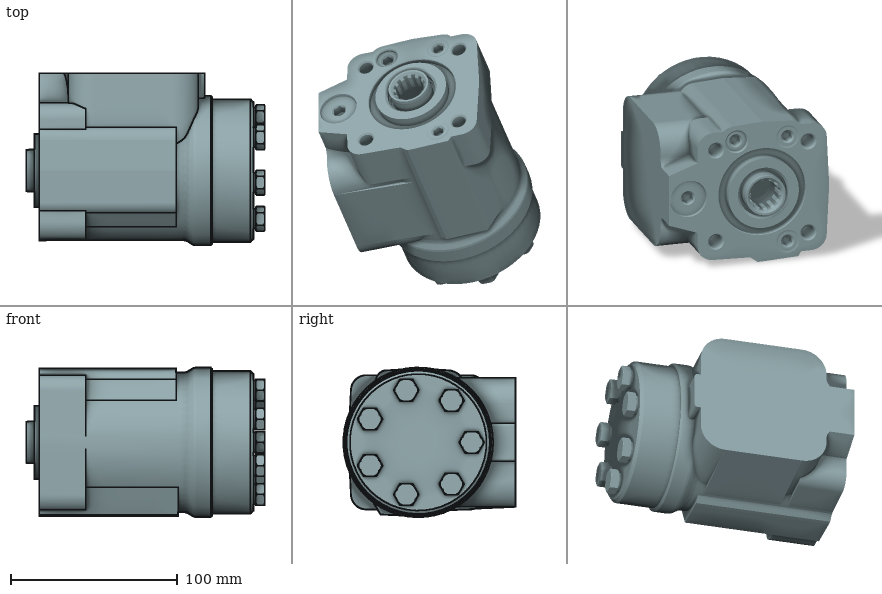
import cadquery as cq
import math


barrel_r = 42.0
barrel_end = 86.7
cone_start = 89.2
cone_start_r = 42.6
cone_end = 92.7
cone_end_r = 44.7
flange_r = 45.0
flange_land_start = 94.1
flange_end = 104.0
flange_chamfer = 1.1

plate_t = 28.0
plate_top_z = 40.4
plate_side_y = 40.5
plate_waist_y = 41.8
plate_waist_z = 4.2
plate_corner_r = 9.5
plate_flat_y = plate_side_y - plate_corner_r
plate_side_z = plate_top_z - plate_corner_r
ear_root_y = 40.7
ear_root_z = 22.1
ear_tip_z = 15.8
port_face_y = 58.5

pad_ridge_z = 44.5
pad_edge_y = 18.5
pad_edge_z = 43.3
pad_round_y = 23.2
pad_round_z = 41.6
flank_top_y = 25.2
flank_top_z = 38.0
flank_foot_y = 33.7
flank_foot_z = 25.2
block_side_y = 26.1
block_side_z = 38.8
bottom_edge_y = 22.6
bottom_edge_z = 43.4
bottom_flank_top_y = 24.0
bottom_flank_foot_y = 32.4
bottom_flank_foot_z = 26.9
bottom_step_y = 3.0
bottom_step_foot_y = 7.6
bottom_step_z = 41.1
top_pad_length = 82.3
bottom_pad_length = 83.4

block_start = 17.4
block_end = 95.5
block_half_z = 38.8
block_corner_r = 15.1
block_neck_z = 21.0
block_neck_r = 6.8
rib_t = 4.0
rib_half_z = 11.5
rib_root_y = 30.0
rib_round_r = 1.9

collar_r = 22.1
collar_height = 2.95
recess_r = 27.2
recess_depth = 3.5
recess_chamfer = 0.35
seal_mouth_d = 32.27
seal_d = 29.6
seal_depth = 4.0
clearance_r = 13.8
clearance_depth = 2.0

sleeve_r = 25.4 / 2
sleeve_front = -7.8
sleeve_back = 30.0
sleeve_lead = 1.9
sleeve_lead_drop = 0.3
spline_teeth = 12
spline_root_r = 9.9
spline_tip_r = 8.55
spline_tooth_w = 2.3
spline_length = 11.0
spline_mouth_r = 11.2
sleeve_bore_depth = 24.0

mount_pitch = 29.0
mount_d = 8.38
mount_mouth_d = 10.2
mount_depth = 15.0
small_plug_y = 16.0
small_plug_z = 33.3
small_plug_d = 12.5
small_plug_mouth_d = 14.4
small_hex = 6.0
small_socket_d = 8.38
deep_plug_d = 13.0
deep_plug_depth = 2.0
deep_plug_lead = 0.7
shallow_plug_depth = 0.3
big_plug_y = 46.2
big_plug_d = 22.0
big_plug_mouth_d = 23.0
big_plug_depth = 1.7
big_hex = 7.0
big_socket_d = 8.92
socket_depth = 6.0
socket_turn = 90
drill_point_angle = 118.0

stack_r = 86.0 / 2
cap_end = 128.7
cap_chamfer = 2.0
bolt_count = 7
bolt_circle_r = 32.1
washer_d = 12.0
washer_t = 1.4
hex_flats = 13.0
hex_end = 135.47
hex_chamfer = 0.6


def extrude_yz(outline, start, end):
    """Close a YZ outline drawn on a plane at X = start and extrude it to X = end."""
    return outline.close().extrude(end - start)


def yz_plane(x):
    return cq.Workplane("YZ", origin=(x, 0, 0))


def cylinder(radius, start, end, y=0.0, z=0.0):
    return yz_plane(start).center(y, z).circle(radius).extrude(end - start)


def cone(front_r, back_r, start, end, y=0.0, z=0.0):
    """Solid cone along X; back_r may be zero for a drill point."""
    outline = cq.Workplane("XY", origin=(0, y, z)).moveTo(start, 0).lineTo(start, front_r)
    outline = outline.lineTo(end, back_r)
    if back_r > 0:
        outline = outline.lineTo(end, 0)
    return outline.close().revolve(360, (0, 0, 0), (1, 0, 0))


def hexagon(flats, start, end, y, z, turn=0):
    """Hexagonal prism along X; its corners point along Y until it is turned."""
    corners_d = flats / math.cos(math.pi / 6)
    prism = yz_plane(start).center(y, z).polygon(6, corners_d).extrude(end - start)
    return prism.rotate((0, y, z), (1, y, z), turn)


def make_barrel():
    chamfer_start = flange_end - flange_chamfer
    return (
        cq.Workplane("XY")
        .moveTo(0, 0)
        .lineTo(0, barrel_r)
        .lineTo(barrel_end, barrel_r)
        .tangentArcPoint((cone_start, cone_start_r), relative=False)
        .lineTo(cone_end, cone_end_r)
        .lineTo(flange_land_start, flange_r)
        .lineTo(chamfer_start, flange_r)
        .lineTo(flange_end, flange_r - flange_chamfer)
        .lineTo(flange_end, 0)
        .close()
        .revolve(360, (0, 0, 0), (1, 0, 0))
    )


def make_plate():
    """Rounded square plate with an ear that reaches the port face."""
    corner = plate_corner_r * (1 - math.sqrt(0.5))
    corner_y = plate_side_y - corner
    corner_z = plate_top_z - corner
    outline = (
        yz_plane(0)
        .moveTo(-plate_waist_y, -plate_waist_z)
        .lineTo(-plate_waist_y, plate_waist_z)
        .lineTo(-plate_side_y, plate_side_z)
        .threePointArc((-corner_y, corner_z), (-plate_flat_y, plate_top_z))
        .lineTo(plate_flat_y, plate_top_z)
        .threePointArc((corner_y, corner_z), (plate_side_y, plate_side_z))
        .lineTo(ear_root_y, ear_root_z)
        .lineTo(ear_root_y, -ear_root_z)
        .lineTo(plate_side_y, -plate_side_z)
        .threePointArc((corner_y, -corner_z), (plate_flat_y, -plate_top_z))
        .lineTo(bottom_step_foot_y, -bottom_step_z)
        .lineTo(-plate_flat_y, -plate_top_z)
        .threePointArc((-corner_y, -corner_z), (-plate_side_y, -plate_side_z))
    )
    plate = extrude_yz(outline, 0, plate_t)
    ear = extrude_yz(
        yz_plane(0)
        .moveTo(0, ear_root_z)
        .lineTo(ear_root_y, ear_root_z)
        .lineTo(port_face_y, ear_tip_z)
        .lineTo(port_face_y, -ear_tip_z)
        .lineTo(ear_root_y, -ear_root_z)
        .lineTo(0, -ear_root_z),
        0,
        block_start + 1,
    )
    return plate.union(ear)


def make_pads():
    """Ridged pads on top of and below the barrel, their flanks leaning onto it."""
    top = extrude_yz(
        yz_plane(0)
        .moveTo(0, pad_ridge_z)
        .lineTo(-pad_edge_y, pad_edge_z)
        .threePointArc((-pad_round_y, pad_round_z), (-flank_top_y, flank_top_z))
        .lineTo(-flank_foot_y, flank_foot_z)
        .lineTo(block_side_y, flank_foot_z)
        .lineTo(block_side_y, block_side_z)
        .threePointArc((pad_round_y, pad_round_z), (pad_edge_y, pad_edge_z)),
        0,
        top_pad_length,
    )
    bottom = extrude_yz(
        yz_plane(0)
        .moveTo(bottom_step_y, -pad_ridge_z)
        .lineTo(0, -pad_ridge_z)
        .lineTo(-bottom_edge_y, -bottom_edge_z)
        .lineTo(-bottom_flank_top_y, -bottom_step_z)
        .lineTo(-bottom_flank_foot_y, -bottom_flank_foot_z)
        .lineTo(bottom_step_foot_y, -bottom_flank_foot_z)
        .lineTo(bottom_step_foot_y, -bottom_step_z),
        0,
        bottom_pad_length,
    )
    return top.union(bottom)


def make_port_block():
    """Block with rounded ends, necked onto the ear, with a rib on its rear face."""
    r = block_corner_r
    near = r * (1 - math.sqrt(0.5))
    z_flat = block_half_z - r
    neck_x = block_start - block_neck_r
    neck_mid_x = neck_x + block_neck_r * math.sqrt(0.5)
    neck_mid_z = block_neck_z - block_neck_r * math.sqrt(0.5)
    neck_low_z = block_neck_z - block_neck_r
    top = block_half_z
    block = (
        cq.Workplane("XZ")
        .moveTo(neck_x, neck_low_z)
        .threePointArc((neck_mid_x, neck_mid_z), (block_start, block_neck_z))
        .lineTo(block_start, z_flat)
        .threePointArc((block_start + near, top - near), (block_start + r, top))
        .lineTo(block_end - r, top)
        .threePointArc((block_end - near, top - near), (block_end, z_flat))
        .lineTo(block_end, -z_flat)
        .threePointArc((block_end - near, near - top), (block_end - r, -top))
        .lineTo(block_start + r, -top)
        .threePointArc((block_start + near, near - top), (block_start, -z_flat))
        .lineTo(block_start, -block_neck_z)
        .threePointArc((neck_mid_x, -neck_mid_z), (neck_x, -neck_low_z))
        .close()
        .extrude(-port_face_y)
    )
    rib = (
        cq.Workplane("XY", origin=(0, 0, -rib_half_z))
        .moveTo(block_end - r, rib_root_y)
        .lineTo(block_end + rib_t, rib_root_y)
        .lineTo(block_end + rib_t, port_face_y)
        .lineTo(block_end - r, port_face_y)
        .close()
        .extrude(2 * rib_half_z)
        .edges(">X and |Y")
        .fillet(rib_round_r)
    )
    underside = extrude_yz(
        yz_plane(block_start + r)
        .moveTo(port_face_y, -top)
        .lineTo(bottom_step_foot_y, -bottom_step_z)
        .lineTo(bottom_step_foot_y, -z_flat)
        .lineTo(port_face_y, -z_flat),
        block_start + r,
        block_end - r,
    )
    return block.union(rib).union(underside)


def cut_drill_hole(body, diameter, mouth_d, depth, y, z):
    """Chamfered blind hole with a drill point, opening on the mounting face."""
    r = diameter / 2
    chamfer = (mouth_d - diameter) / 2
    point = r / math.tan(math.radians(drill_point_angle / 2))
    body = body.cut(cylinder(r, 0, depth, y, z))
    body = body.cut(cone(r + chamfer, r, 0, chamfer, y, z))
    return body.cut(cone(r, 0, depth, depth + point, y, z))


def cut_plug(body, plug_d, mouth_d, lead, depth, flats, socket_d, y, z):
    """Recess over a socket plug with a conical mouth, a hexagon socket and a drill point."""
    socket_end = depth + socket_depth
    socket_r = flats / 2
    point = socket_r / math.tan(math.radians(drill_point_angle / 2))
    socket_lead = (socket_d - flats) / 2
    body = body.cut(cylinder(plug_d / 2, 0, depth, y, z))
    body = body.cut(cone(mouth_d / 2, plug_d / 2, 0, lead, y, z))
    body = body.cut(hexagon(flats, depth, socket_end, y, z, socket_turn))
    body = body.cut(cone(socket_d / 2, socket_r, depth, depth + socket_lead, y, z))
    return body.cut(cone(socket_r, 0, socket_end, socket_end + point, y, z))


def make_housing():
    body = make_barrel().union(make_plate()).union(make_pads()).union(make_port_block())

    recess = cylinder(recess_r, 0, recess_depth)
    recess = recess.union(cone(recess_r + recess_chamfer, recess_r, 0, recess_chamfer))
    body = body.cut(recess).union(cylinder(collar_r, -collar_height, recess_depth))

    seal_end = seal_depth - collar_height
    seal_lead = (seal_mouth_d - seal_d) / 2
    body = body.cut(cylinder(seal_d / 2, -collar_height, seal_end))
    body = body.cut(cone(seal_mouth_d / 2, seal_d / 2, -collar_height, seal_lead - collar_height))
    body = body.cut(cylinder(clearance_r, seal_end, seal_end + clearance_depth))
    body = body.cut(cylinder(sleeve_r, -collar_height, sleeve_back))

    for y in (-mount_pitch, mount_pitch):
        for z in (-mount_pitch, mount_pitch):
            body = cut_drill_hole(body, mount_d, mount_mouth_d, mount_depth, y, z)

    for z in (-small_plug_z, small_plug_z):
        body = cut_plug(body, small_plug_d, small_plug_mouth_d, shallow_plug_depth, shallow_plug_depth,
                        small_hex, small_socket_d, -small_plug_y, z)
    body = cut_plug(body, deep_plug_d, small_plug_mouth_d, deep_plug_lead, deep_plug_depth,
                    small_hex, small_socket_d, small_plug_y, small_plug_z)
    return cut_plug(body, big_plug_d, big_plug_mouth_d, big_plug_depth, big_plug_depth,
                    big_hex, big_socket_d, big_plug_y, 0)


def make_sleeve():
    """Round sleeve with a blind internal spline behind a conical mouth."""
    lead_end = sleeve_front + sleeve_lead
    spline_end = sleeve_front + spline_length
    bore_end = sleeve_front + sleeve_bore_depth
    body = cylinder(sleeve_r, lead_end, sleeve_back)
    body = body.union(cone(sleeve_r - sleeve_lead_drop, sleeve_r, sleeve_front, lead_end))
    body = body.cut(cylinder(spline_root_r, sleeve_front, bore_end))
    tooth_h = spline_root_r - spline_tip_r + 1
    tooth_mid_r = spline_tip_r + tooth_h / 2
    for i in range(spline_teeth):
        tooth = yz_plane(sleeve_front).center(tooth_mid_r, 0).rect(tooth_h, spline_tooth_w)
        tooth = tooth.extrude(spline_end - sleeve_front)
        body = body.union(tooth.rotate((0, 0, 0), (1, 0, 0), i * 360 / spline_teeth))
    mouth_depth = spline_mouth_r - spline_tip_r
    mouth = cone(spline_mouth_r, spline_tip_r, sleeve_front, sleeve_front + mouth_depth)
    return body.cut(mouth)


def make_bolt(angle):
    y = bolt_circle_r * math.cos(angle)
    z = bolt_circle_r * math.sin(angle)
    washer_end = cap_end + washer_t
    corner_r = hex_flats / math.sqrt(3)
    head = hexagon(hex_flats, washer_end, hex_end, y, z)
    envelope = cylinder(corner_r, washer_end, hex_end, y, z).faces(">X or <X").chamfer(hex_chamfer)
    return cylinder(washer_d / 2, cap_end, washer_end, y, z).union(head.intersect(envelope))


def make_end_unit():
    """Round rotor stack with its end cap and the ring of bolts."""
    unit = cylinder(stack_r, flange_end, cap_end).faces(">X").chamfer(cap_chamfer)
    for i in range(bolt_count):
        unit = unit.union(make_bolt(i * 2 * math.pi / bolt_count))
    return unit


housing = make_housing()
sleeve = make_sleeve()
end_unit = make_end_unit()

result = cq.Compound.makeCompound([housing.val(), sleeve.val(), end_unit.val()])